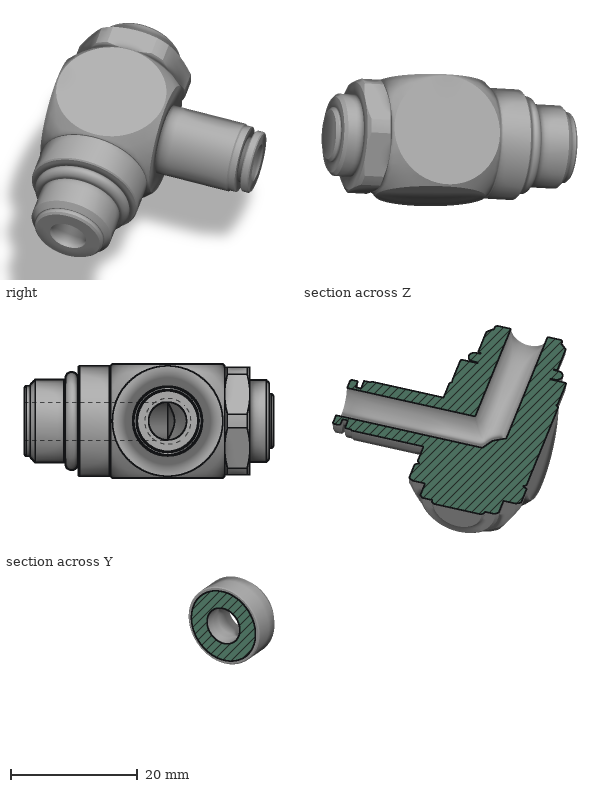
import cadquery as cq
import math


BODY_SIZE = 18.0
FLAT_RADIUS = 8.7
BODY_HALF = BODY_SIZE / 2
SPHERE_RADIUS = math.hypot(BODY_HALF, FLAT_RADIUS)

COLLAR_RADIUS = 8.75
COLLAR_LENGTH = 5.1
COLLAR_CHAMFER = 0.2
NECK_RADIUS = 6.0
NECK_LENGTH = 2.13
THREAD_RADIUS = 6.58
THREAD_LENGTH = 5.48
THREAD_START_CHAMFER = 0.15
THREAD_END_CHAMFER = 0.83
FRONT_TIP_RADIUS = 5.6
FRONT_TIP_LENGTH = 0.95
FRONT_TIP_CHAMFER = 0.3

RING_OUTER_RADIUS = 7.75
RING_RIM_RADIUS = 1.0

NUT_ACROSS_FLATS = 17.02
NUT_CORNER_RADIUS = 9.25
NUT_LENGTH = 3.98
NUT_CHAMFER_LENGTH = 0.45
CAP_RADIUS = 6.5
CAP_LENGTH = 3.07
CAP_CHAMFER = 0.5
REAR_TIP_RADIUS = 4.35
REAR_TIP_LENGTH = 0.7
REAR_TIP_CHAMFER = 0.4

PORT_RADIUS = 5.5
PORT_END = 21.0
PORT_CHAMFER = 0.2
LIP_RADIUS = 5.3
LIP_END = 22.02
RELEASE_NECK_RADIUS = 3.62
FLANGE_START = 22.85
FLANGE_RADIUS = 4.95
FLANGE_END = 24.15
FLANGE_CHAMFER = 0.2

BORE_RADIUS = 3.0
BORE_LENGTH = 25.6
DRILL_POINT_ANGLE = 120


def cylinder(radius, start, end, start_chamfer=0, end_chamfer=0):
    """Cylinder on the Z axis from start to end, with optional chamfered rims."""
    bar = cq.Workplane("XY", origin=(0, 0, start)).circle(radius).extrude(end - start)
    if start_chamfer:
        bar = bar.faces("<Z").chamfer(start_chamfer)
    if end_chamfer:
        bar = bar.faces(">Z").chamfer(end_chamfer)
    return bar


def toward_front(shape):
    """Turn a shape built along +Z to point along -Y."""
    return shape.rotate((0, 0, 0), (1, 0, 0), 90)


def toward_rear(shape):
    """Turn a shape built along +Z to point along +Y."""
    return shape.rotate((0, 0, 0), (1, 0, 0), -90)


def toward_port(shape):
    """Turn a shape built along +Z to point along +X."""
    return shape.rotate((0, 0, 0), (0, 1, 0), 90)


def make_body():
    cube = cq.Workplane("XY").box(BODY_SIZE, BODY_SIZE, BODY_SIZE)
    return cube.intersect(cq.Workplane("XY").sphere(SPHERE_RADIUS))


def make_ring(middle):
    """Sealing ring with flat sides and a half-round rim, centred at height middle."""
    flat_radius = RING_OUTER_RADIUS - RING_RIM_RADIUS
    bottom = middle - RING_RIM_RADIUS
    top = middle + RING_RIM_RADIUS
    return (
        cq.Workplane("XZ")
        .moveTo(0, bottom)
        .lineTo(flat_radius, bottom)
        .threePointArc((RING_OUTER_RADIUS, middle), (flat_radius, top))
        .lineTo(0, top)
        .close()
        .revolve(360, (0, 0), (0, 1))
    )


def make_threaded_end():
    collar_end = BODY_HALF + COLLAR_LENGTH
    neck_end = collar_end + NECK_LENGTH
    thread_end = neck_end + THREAD_LENGTH
    tip_end = thread_end + FRONT_TIP_LENGTH

    collar = cylinder(COLLAR_RADIUS, BODY_HALF, collar_end, COLLAR_CHAMFER, COLLAR_CHAMFER)
    neck = cylinder(NECK_RADIUS, 0, neck_end)
    ring = make_ring((collar_end + neck_end) / 2)
    thread = cylinder(THREAD_RADIUS, neck_end, thread_end, THREAD_START_CHAMFER, THREAD_END_CHAMFER)
    tip = cylinder(FRONT_TIP_RADIUS, thread_end, tip_end, 0, FRONT_TIP_CHAMFER)
    return toward_front(neck.union(collar).union(ring).union(thread).union(tip))


def make_nut(start, end):
    """Hexagon with rounded corners, chamfered by a cone at both faces."""
    apothem = NUT_ACROSS_FLATS / 2
    across_corners = NUT_ACROSS_FLATS / math.cos(math.pi / 6)
    hexagon = (
        cq.Workplane("XY", origin=(0, 0, start))
        .polygon(6, across_corners)
        .extrude(end - start)
    )
    envelope = (
        cq.Workplane("XZ")
        .moveTo(0, start)
        .lineTo(apothem, start)
        .lineTo(NUT_CORNER_RADIUS, start + NUT_CHAMFER_LENGTH)
        .lineTo(NUT_CORNER_RADIUS, end - NUT_CHAMFER_LENGTH)
        .lineTo(apothem, end)
        .lineTo(0, end)
        .close()
        .revolve(360, (0, 0), (0, 1))
    )
    return hexagon.intersect(envelope)


def make_nut_end():
    nut_end = BODY_HALF + NUT_LENGTH
    cap_end = nut_end + CAP_LENGTH
    tip_end = cap_end + REAR_TIP_LENGTH

    nut = make_nut(BODY_HALF, nut_end)
    cap = cylinder(CAP_RADIUS, nut_end, cap_end, 0, CAP_CHAMFER)
    tip = cylinder(REAR_TIP_RADIUS, cap_end, tip_end, 0, REAR_TIP_CHAMFER)
    return toward_rear(nut.union(cap).union(tip))


def make_tube_port():
    barrel = cylinder(PORT_RADIUS, 0, PORT_END, 0, PORT_CHAMFER)
    lip = cylinder(LIP_RADIUS, PORT_END, LIP_END)
    release_neck = cylinder(RELEASE_NECK_RADIUS, LIP_END, FLANGE_START)
    flange = cylinder(FLANGE_RADIUS, FLANGE_START, FLANGE_END, FLANGE_CHAMFER, FLANGE_CHAMFER)
    return toward_port(barrel.union(lip).union(release_neck).union(flange))


def make_bore():
    """Drilled hole along +Z whose conical point reaches just past the origin."""
    point_depth = BORE_RADIUS / math.tan(math.radians(DRILL_POINT_ANGLE / 2))
    return (
        cq.Workplane("XZ")
        .moveTo(0, -point_depth)
        .lineTo(BORE_RADIUS, 0)
        .lineTo(BORE_RADIUS, BORE_LENGTH)
        .lineTo(0, BORE_LENGTH)
        .close()
        .revolve(360, (0, 0), (0, 1))
    )


solid = make_body().union(make_threaded_end()).union(make_nut_end()).union(make_tube_port())
result = solid.cut(toward_front(make_bore())).cut(toward_port(make_bore()))